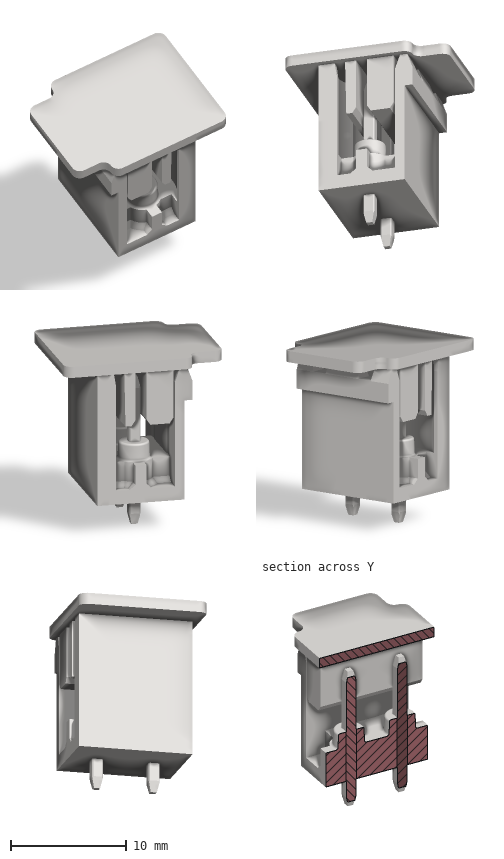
import cadquery as cq

overall_height = 15.58

pitch = 5.08
pin_width = 1.0
pin_corner_chamfer = 0.11
pin_top = 10.8
pin_tail = 2.59
tip_height = 1.0
tip_end_width = 0.55
pin_xs = (-pitch / 2, pitch / 2)

housing_length = 2 * pitch
housing_half_depth = 3.91
housing_height = 12.0
cavity_back = 2.23
cavity_front = -3.04
cavity_floor = 1.23
hook_front = -4.61
hook_bottom = 8.99
lead_in_bottom = 10.72
rim_back = 2.45
rim_front_inner = -3.49
rim_front_outer = -4.15

block_top = 3.41
bore_radius = 3.1
boss_radius = 1.68
rib_width = pin_width
back_pocket_depth = 1.3
front_pocket_depth = 1.87
pocket_flare_width = 0.5
pocket_flare_height = 0.45

collar_base_radius = 1.4
collar_top_radius = 1.35
collar_top = 4.95
collar_top_round = 0.19
collar_base_round = 0.19

notch_xs = (-2.6, 2.4)
notch_top_width = 1.76
notch_floor_width = 1.43

plate_length = 11.4
plate_thickness = overall_height - housing_height - pin_tail
plate_back = 6.92
plate_step = -4.58
plate_front = -7.59
plate_corner_radius = 0.75
blade_tip = 7.01
blade_chamfer_width = 0.35
blade_chamfer_height = 0.51
back_blade_root = 1.5
back_blade_end = 1.39
front_blade_outer = -2.91


def extrude_along_x(points, length):
    """Prism with a (Y, Z) outline, centred on X = 0."""
    return cq.Workplane("YZ").polyline(points).close().extrude(length / 2, both=True)


def box_between(x0, x1, y0, y1, z0, z1):
    """Box between two limits along each axis."""
    return cq.Workplane("XY").box(x1 - x0, y1 - y0, z1 - z0, centered=False).translate((x0, y0, z0))


def pin_bar(bottom, top):
    """Straight bar with the cross-section of the pin."""
    bar = cq.Workplane("XY").workplane(offset=bottom).rect(pin_width, pin_width).extrude(top - bottom)
    return bar.edges("|Z").chamfer(pin_corner_chamfer)


def make_pin(x):
    """Square pin with chamfered corners and a pyramid tip at both ends."""
    shaft_bottom = -pin_tail + tip_height
    shaft_top = pin_top - tip_height
    half_width = pin_width / 2
    half_tip = tip_end_width / 2
    side = [
        (-half_tip, -pin_tail),
        (half_tip, -pin_tail),
        (half_width, shaft_bottom),
        (half_width, shaft_top),
        (half_tip, pin_top),
        (-half_tip, pin_top),
        (-half_width, shaft_top),
        (-half_width, shaft_bottom),
    ]
    pointed_in_y = extrude_along_x(side, pin_width)
    pointed_in_x = pointed_in_y.rotate((0, 0, 0), (0, 0, 1), 90)
    pin = pin_bar(-pin_tail, pin_top).intersect(pointed_in_y).intersect(pointed_in_x)
    return pin.translate((x, 0, 0))


def make_shell():
    """U-shaped housing, open at both ends, with the hook on its front wall."""
    return extrude_along_x(
        [
            (housing_half_depth, 0),
            (housing_half_depth, housing_height),
            (rim_back, housing_height),
            (cavity_back, lead_in_bottom),
            (cavity_back, block_top),
            (cavity_front, block_top),
            (cavity_front, lead_in_bottom),
            (rim_front_inner, housing_height),
            (rim_front_outer, housing_height),
            (hook_front, lead_in_bottom),
            (hook_front, hook_bottom),
            (-housing_half_depth, hook_bottom),
            (-housing_half_depth, 0),
        ],
        housing_length,
    )


def make_bore(x):
    """Round clearance around a pin, down to the top of the block."""
    bore = cq.Workplane("XY").workplane(offset=block_top).circle(bore_radius)
    return bore.extrude(housing_height - block_top).translate((x, 0, 0))


def flared_slab(x0, x1, y0, y1):
    """Upright slab, from the cavity floor to the block top, with a flare around its foot."""
    flare_top = cavity_floor + pocket_flare_height
    straight = box_between(x0, x1, y0, y1, flare_top, block_top)
    foot = (
        cq.Workplane("XY")
        .workplane(offset=cavity_floor)
        .center((x0 + x1) / 2, (y0 + y1) / 2)
        .rect(x1 - x0 + 2 * pocket_flare_width, y1 - y0 + 2 * pocket_flare_width)
        .workplane(offset=pocket_flare_height)
        .rect(x1 - x0, y1 - y0)
        .loft(ruled=True)
    )
    return straight.union(foot)


def make_boss(x):
    """Round boss with a conical flare at its foot."""
    flare_top = cavity_floor + pocket_flare_height
    profile = [
        (0, cavity_floor),
        (boss_radius + pocket_flare_width, cavity_floor),
        (boss_radius, flare_top),
        (boss_radius, block_top),
        (0, block_top),
    ]
    boss = cq.Workplane("XZ").polyline(profile).close().revolve(360, (0, 0), (0, 1))
    return boss.translate((x, 0, 0))


def make_end_pockets():
    """Pockets in the -X end of the block, either side of the rib that carries the boss."""
    end = -housing_length / 2
    pin_x = pin_xs[0]
    pockets = box_between(end, end + back_pocket_depth, 0, cavity_back, cavity_floor, block_top)
    front_pocket = box_between(end, end + front_pocket_depth, cavity_front, 0, cavity_floor, block_top)
    pockets = pockets.union(front_pocket)
    beyond = pitch
    kept = make_boss(pin_x)
    kept = kept.union(flared_slab(end - beyond, pin_x, -rib_width / 2, rib_width / 2))
    kept = kept.union(flared_slab(end + back_pocket_depth, pin_x, 0, beyond))
    kept = kept.union(flared_slab(end + front_pocket_depth, pin_x, -beyond, 0))
    return pockets.cut(kept)


def make_collar(x):
    """Tapered collar with a rounded rim and a concave round where it meets the block."""
    profile = (
        cq.Workplane("XZ")
        .moveTo(0, block_top)
        .lineTo(collar_base_radius + collar_base_round, block_top)
        .radiusArc((collar_base_radius, block_top + collar_base_round), collar_base_round)
        .lineTo(collar_top_radius, collar_top - collar_top_round)
        .radiusArc((collar_top_radius - collar_top_round, collar_top), -collar_top_round)
        .lineTo(0, collar_top)
        .close()
    )
    return profile.revolve(360, (0, 0), (0, 1)).translate((x, 0, 0))


def make_notch(x):
    """Coding notch through the rim of the front wall, narrowing towards its floor."""
    outline = [
        (x - notch_floor_width / 2, lead_in_bottom),
        (x + notch_floor_width / 2, lead_in_bottom),
        (x + notch_top_width / 2, housing_height),
        (x - notch_top_width / 2, housing_height),
    ]
    face = cq.Workplane("XZ").workplane(offset=-cavity_front).polyline(outline).close()
    return face.extrude(cavity_front - hook_front)


def make_housing():
    """Housing with bores, collars, end pockets alike at both ends, pin holes and notches."""
    housing = make_shell()
    for x in pin_xs:
        housing = housing.cut(make_bore(x))
    for x in pin_xs:
        housing = housing.union(make_collar(x))
    end_pockets = make_end_pockets()
    housing = housing.cut(end_pockets).cut(end_pockets.mirror("YZ"))
    for x in pin_xs:
        housing = housing.cut(pin_bar(0, collar_top).translate((x, 0, 0)))
    for x in notch_xs:
        housing = housing.cut(make_notch(x))
    return housing


def make_plate():
    """Plate with a narrower tongue at the front, all its corners rounded."""
    radius = plate_corner_radius
    half_length = plate_length / 2
    half_tongue = half_length - 2 * radius
    outline = (
        cq.Workplane("XY")
        .workplane(offset=housing_height)
        .moveTo(0, plate_back)
        .lineTo(half_length - radius, plate_back)
        .radiusArc((half_length, plate_back - radius), radius)
        .lineTo(half_length, plate_step + radius)
        .radiusArc((half_length - radius, plate_step), radius)
        .radiusArc((half_tongue, plate_step - radius), -radius)
        .lineTo(half_tongue, plate_front + radius)
        .radiusArc((half_tongue - radius, plate_front), radius)
        .lineTo(0, plate_front)
        .mirrorY()
    )
    return outline.extrude(plate_thickness)


def make_cover():
    """Plate with two blades that hang into the housing and grip the pins between them."""
    grip = pin_width / 2
    chamfer_top = blade_tip + blade_chamfer_height
    back_blade = [
        (grip, housing_height),
        (grip, chamfer_top),
        (grip + blade_chamfer_width, blade_tip),
        (back_blade_end, blade_tip),
        (back_blade_root, housing_height),
    ]
    front_blade = [
        (-grip, housing_height),
        (-grip, chamfer_top),
        (-grip - blade_chamfer_width, blade_tip),
        (front_blade_outer + blade_chamfer_width, blade_tip),
        (front_blade_outer, chamfer_top),
        (front_blade_outer, housing_height),
    ]
    cover = make_plate()
    for outline in (back_blade, front_blade):
        cover = cover.union(extrude_along_x(outline, housing_length))
    return cover


housing = make_housing()
cover = make_cover()
pins = [make_pin(x) for x in pin_xs]

result = cq.Compound.makeCompound([housing.val(), cover.val(), *[pin.val() for pin in pins]])